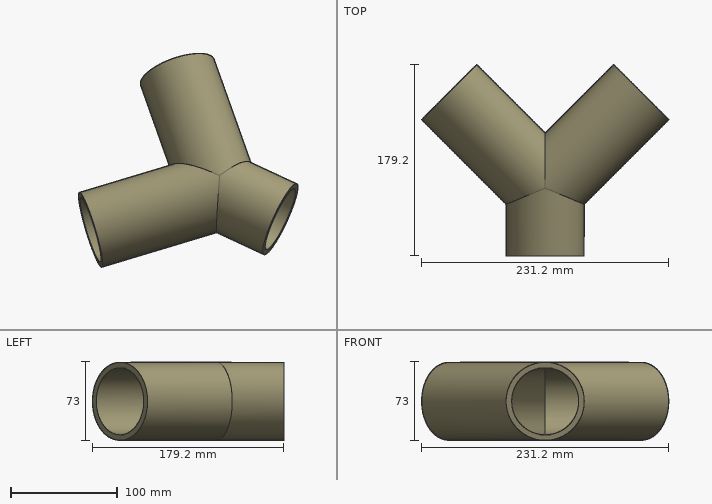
import cadquery as cq
import math

overall_width = 231.2
overall_depth = 179.2
outer_diameter = 73.0
bore_diameter = 62.7
branch_angle = 45.0

angle = math.radians(branch_angle)
outer_radius = outer_diameter / 2
branch_length = (overall_width / 2 - outer_radius * math.cos(angle)) / math.sin(angle)
branch_reach = branch_length * math.cos(angle) + outer_radius * math.sin(angle)
stem_length = overall_depth - branch_reach

pipes = [(cq.Vector(0, -1, 0), stem_length)]
for side in (-1, 1):
    direction = cq.Vector(side * math.sin(angle), math.cos(angle), 0)
    pipes.append((direction, branch_length))


def joined_cylinders(diameter):
    """Fuse one cylinder per pipe, all starting at the axis junction."""
    cylinders = [
        cq.Solid.makeCylinder(diameter / 2, length, cq.Vector(0, 0, 0), direction)
        for direction, length in pipes
    ]
    stem, left_branch, right_branch = cylinders
    return cq.Workplane(obj=stem.fuse(left_branch, right_branch))


result = joined_cylinders(outer_diameter).cut(joined_cylinders(bore_diameter))